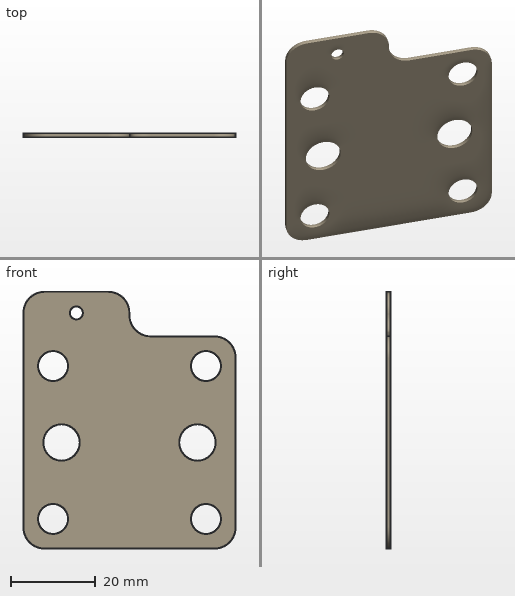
import cadquery as cq

plate_size = 50.0
thickness = 1.0
corner_radius = 5.0

tab_height = 10.5
tab_width = plate_size / 2

corner_hole_diameter = 7.0
corner_hole_pitch = 36.0
middle_hole_diameter = 8.5
middle_hole_pitch = 32.0
tab_hole_diameter = 3.0
tab_hole_from_top = 5.0

half_size = plate_size / 2
tab_top = half_size + tab_height
tab_right = -half_size + tab_width
tab_center_x = -half_size + tab_width / 2


def back_plane():
    """XZ sketch plane on the +Y face; extrusions from it run towards -Y."""
    return cq.Workplane("XZ", origin=(0, thickness / 2, 0))


def make_plate():
    """Stepped plate; every outline corner, inner one included, has the same radius."""
    outline = [
        (-half_size, -half_size),
        (half_size, -half_size),
        (half_size, half_size),
        (tab_right, half_size),
        (tab_right, tab_top),
        (-half_size, tab_top),
    ]
    plate = back_plane().polyline(outline).close().extrude(thickness)
    return plate.edges("|Y").fillet(corner_radius)


def through_holes(points, diameter):
    """Cylinders that cut holes through the full thickness at the given (X, Z) points."""
    return back_plane().pushPoints(points).circle(diameter / 2).extrude(thickness)


sides = (-1, 1)
corner_points = [(sx * corner_hole_pitch / 2, sz * corner_hole_pitch / 2) for sx in sides for sz in sides]
middle_points = [(sx * middle_hole_pitch / 2, 0) for sx in sides]
tab_points = [(tab_center_x, tab_top - tab_hole_from_top)]

result = (
    make_plate()
    .cut(through_holes(corner_points, corner_hole_diameter))
    .cut(through_holes(middle_points, middle_hole_diameter))
    .cut(through_holes(tab_points, tab_hole_diameter))
)